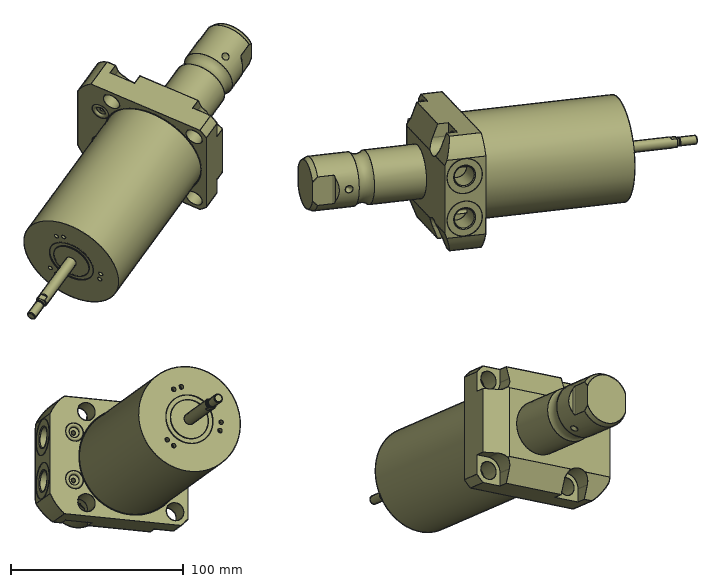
import cadquery as cq
import math


FLANGE_LEFT = 49.9
FLANGE_RIGHT = 35.5
FLANGE_HEIGHT = 70.9
FLANGE_THICKNESS = 25.0
PORT_SIDE_HALF_HEIGHT = 24.0
PORT_CORNER_LENGTH = 8.8
PORT_CORNER_RADIUS = 28.6
RIGHT_CORNER_RADIUS = 47.2
BEVEL_WIDTH = 14.5
BEVEL_DEPTH = 5.7

BOLT_OFFSET = 27.5
BOLT_HOLE_DIAMETER = 10.7
BOLT_SEAT_RADIUS = 8.0
BOLT_SEAT_Y = 13.0

PORT_Y = 13.0
PORT_Z = 13.1
PORT_DIAMETER = 12.2
PORT_CHAMFER = 0.6
SPOT_FACE_DIAMETER = 21.5
SPOT_FACE_DEPTH = 0.2
CHANNEL_X = -34.8
CHANNEL_Z = 14.3
CHANNEL_DIAMETER = 2.6
CHANNEL_DEPTH = 13.5

RING_RADIUS = 4.3
RING_WIRE_RADIUS = 1.2
RING_PROTRUSION = 0.5
RING_SEAT_RADIUS = RING_RADIUS + RING_WIRE_RADIUS
RING_SEAT_DEPTH = 2 * RING_WIRE_RADIUS - RING_PROTRUSION

BODY_RADIUS = 31.5
BODY_LENGTH = 97.0
BODY_RELIEF_RADIUS = 32.0
BODY_RELIEF_DEPTH = 0.7
FACE_GROOVE_INNER_RADIUS = 11.7
FACE_GROOVE_OUTER_RADIUS = 14.5
FACE_GROOVE_DEPTH = 0.7
FACE_HOLE_DIAMETER = 2.6
FACE_HOLE_DEPTH = 3.5
FACE_HOLE_CIRCLE_RADIUS = 19.5
FACE_HOLE_PAIRS = 3
FACE_HOLE_PAIR_ANGLE = 15

ROD_RADIUS = 3.3
ROD_LENGTH = 35.5
ROD_CHAMFER = 0.2
ROD_FLAT_HALF_HEIGHT = 2.6
ROD_FLAT_LENGTH = 3.3
ROD_FLAT_RAMP = 0.5
TIP_RADIUS = 2.6
TIP_LENGTH = 12.2
TIP_CHAMFER = 0.5
UNDERCUT_OFFSET = 1.2
UNDERCUT_WIDTH = 0.7
UNDERCUT_DEPTH = 0.2

SPINDLE_RADIUS = 16.0
SPINDLE_END_Y = 93.8
SPINDLE_BEVEL_LENGTH = 3.0
SPINDLE_BEVEL_DEPTH = 1.5
NECK_START_Y = 56.8
NECK_END_Y = 66.0
NECK_DEPTH = 1.7
SPINDLE_FLAT_OFFSET = 13.4
SPINDLE_FLAT_LENGTH = 12.6
SPINDLE_FLAT_FILLET = 1.0
SPINDLE_FLAT_RUNOUT = 2.0
DIMPLE_Y = 72.3
DIMPLE_DIAMETER = 4.8
DIMPLE_DEPTH = 2.5
DIMPLE_COUNT = 3

half_height = FLANGE_HEIGHT / 2
body_front_y = -BODY_LENGTH
rod_front_y = body_front_y - ROD_LENGTH
tip_front_y = rod_front_y - TIP_LENGTH


def disc(x, z, radius, start_y, end_y):
    """Cylinder along Y between two Y positions."""
    return cq.Workplane("XZ", origin=(x, start_y, z)).circle(radius).extrude(start_y - end_y)


def side_disc(y, z, radius, depth):
    """Cylinder that goes along +X into the port side."""
    return cq.Workplane("YZ", origin=(-FLANGE_LEFT, y, z)).circle(radius).extrude(depth)


def make_flange_plate():
    port_corner_x = PORT_CORNER_LENGTH - FLANGE_LEFT
    right_corner_x = math.sqrt(RIGHT_CORNER_RADIUS**2 - half_height**2)
    right_corner_z = math.sqrt(RIGHT_CORNER_RADIUS**2 - FLANGE_RIGHT**2)
    plate = (
        cq.Workplane("XZ")
        .moveTo(port_corner_x, half_height)
        .lineTo(right_corner_x, half_height)
        .radiusArc((FLANGE_RIGHT, right_corner_z), RIGHT_CORNER_RADIUS)
        .lineTo(FLANGE_RIGHT, -right_corner_z)
        .radiusArc((right_corner_x, -half_height), RIGHT_CORNER_RADIUS)
        .lineTo(port_corner_x, -half_height)
        .radiusArc((-FLANGE_LEFT, -PORT_SIDE_HALF_HEIGHT), PORT_CORNER_RADIUS)
        .lineTo(-FLANGE_LEFT, PORT_SIDE_HALF_HEIGHT)
        .radiusArc((port_corner_x, half_height), PORT_CORNER_RADIUS)
        .close()
        .extrude(-FLANGE_THICKNESS)
    )
    bevel_y = FLANGE_THICKNESS - BEVEL_DEPTH
    height_profile = (
        cq.Workplane("YZ")
        .polyline([
            (0, -half_height),
            (bevel_y, -half_height),
            (FLANGE_THICKNESS, BEVEL_WIDTH - half_height),
            (FLANGE_THICKNESS, half_height - BEVEL_WIDTH),
            (bevel_y, half_height),
            (0, half_height),
        ])
        .close()
        .extrude(FLANGE_LEFT, both=True)
    )
    width_profile = (
        cq.Workplane("XY")
        .polyline([
            (-FLANGE_LEFT, 0),
            (FLANGE_RIGHT, 0),
            (FLANGE_RIGHT, bevel_y),
            (FLANGE_RIGHT - BEVEL_WIDTH, FLANGE_THICKNESS),
            (-FLANGE_LEFT, FLANGE_THICKNESS),
        ])
        .close()
        .extrude(half_height, both=True)
    )
    return plate.intersect(height_profile).intersect(width_profile)


def make_port_side_seat():
    """Bolt seat at -X and +Z: a round end that runs out through the +Z side."""
    left_x = -BOLT_OFFSET - BOLT_SEAT_RADIUS
    right_x = -BOLT_OFFSET + BOLT_SEAT_RADIUS
    return (
        cq.Workplane("XZ", origin=(0, BOLT_SEAT_Y, 0))
        .moveTo(left_x, half_height)
        .lineTo(left_x, BOLT_OFFSET)
        .threePointArc((-BOLT_OFFSET, BOLT_OFFSET - BOLT_SEAT_RADIUS), (right_x, BOLT_OFFSET))
        .lineTo(right_x, half_height)
        .close()
        .extrude(BOLT_SEAT_Y - FLANGE_THICKNESS)
    )


def make_right_seat():
    """Bolt seat at +X and +Z: a corner notch with a round inner corner."""
    inner = BOLT_OFFSET - BOLT_SEAT_RADIUS
    return (
        cq.Workplane("XZ", origin=(0, BOLT_SEAT_Y, 0))
        .moveTo(inner, half_height)
        .lineTo(inner, BOLT_OFFSET)
        .radiusArc((BOLT_OFFSET, inner), -BOLT_SEAT_RADIUS)
        .lineTo(FLANGE_RIGHT, inner)
        .lineTo(FLANGE_RIGHT, half_height)
        .close()
        .extrude(BOLT_SEAT_Y - FLANGE_THICKNESS)
    )


def cut_mounting_holes(flange):
    for side_x in (-1, 1):
        for side_z in (-1, 1):
            hole = disc(
                side_x * BOLT_OFFSET, side_z * BOLT_OFFSET, BOLT_HOLE_DIAMETER / 2, 0, FLANGE_THICKNESS
            )
            flange = flange.cut(hole)
    for seat in (make_port_side_seat(), make_right_seat()):
        flange = flange.cut(seat).cut(seat.mirror("XY"))
    return flange


def cut_ports(flange):
    port_depth = FLANGE_LEFT + CHANNEL_X
    for side_z in (-1, 1):
        port_z = side_z * PORT_Z
        channel_z = side_z * CHANNEL_Z
        port = side_disc(PORT_Y, port_z, PORT_DIAMETER / 2, port_depth)
        chamfer = cq.Workplane(
            cq.Solid.makeCone(
                PORT_DIAMETER / 2 + PORT_CHAMFER, PORT_DIAMETER / 2, PORT_CHAMFER,
                pnt=cq.Vector(SPOT_FACE_DEPTH - FLANGE_LEFT, PORT_Y, port_z), dir=cq.Vector(1, 0, 0),
            )
        )
        spot_face = side_disc(PORT_Y, port_z, SPOT_FACE_DIAMETER / 2, SPOT_FACE_DEPTH)
        channel = disc(CHANNEL_X, channel_z, CHANNEL_DIAMETER / 2, 0, CHANNEL_DEPTH)
        ring_seat = disc(CHANNEL_X, channel_z, RING_SEAT_RADIUS, 0, RING_SEAT_DEPTH)
        flange = flange.cut(port).cut(chamfer).cut(spot_face).cut(channel).cut(ring_seat)
    return flange


def make_body_and_rod():
    undercut_y = rod_front_y - UNDERCUT_OFFSET
    body = (
        cq.Workplane("YZ")
        .polyline([
            (BODY_RELIEF_DEPTH, 0),
            (BODY_RELIEF_DEPTH, BODY_RADIUS),
            (body_front_y, BODY_RADIUS),
            (body_front_y, ROD_RADIUS),
            (rod_front_y + ROD_CHAMFER, ROD_RADIUS),
            (rod_front_y, ROD_RADIUS - ROD_CHAMFER),
            (rod_front_y, TIP_RADIUS),
            (undercut_y, TIP_RADIUS),
            (undercut_y, TIP_RADIUS - UNDERCUT_DEPTH),
            (undercut_y - UNDERCUT_WIDTH, TIP_RADIUS - UNDERCUT_DEPTH),
            (undercut_y - UNDERCUT_WIDTH, TIP_RADIUS),
            (tip_front_y + TIP_CHAMFER, TIP_RADIUS),
            (tip_front_y, TIP_RADIUS - TIP_CHAMFER),
            (tip_front_y, 0),
        ])
        .close()
        .revolve(360, (0, 0), (1, 0))
    )
    flat_y = rod_front_y + ROD_FLAT_LENGTH
    flat = (
        cq.Workplane("YZ")
        .polyline([
            (rod_front_y, ROD_FLAT_HALF_HEIGHT),
            (flat_y, ROD_FLAT_HALF_HEIGHT),
            (flat_y + ROD_FLAT_RAMP, ROD_RADIUS),
            (rod_front_y, ROD_RADIUS),
        ])
        .close()
        .extrude(ROD_RADIUS, both=True)
    )
    return body.cut(flat).cut(flat.mirror("XY"))


def cut_body_face(body):
    groove_floor_y = body_front_y + FACE_GROOVE_DEPTH
    groove = disc(0, 0, FACE_GROOVE_OUTER_RADIUS, body_front_y, groove_floor_y).cut(
        disc(0, 0, FACE_GROOVE_INNER_RADIUS, body_front_y, groove_floor_y)
    )
    body = body.cut(groove)
    for pair in range(FACE_HOLE_PAIRS):
        pair_angle = pair * 360 / FACE_HOLE_PAIRS
        for angle in (pair_angle, pair_angle - FACE_HOLE_PAIR_ANGLE):
            hole_x = FACE_HOLE_CIRCLE_RADIUS * math.cos(math.radians(angle))
            hole_z = FACE_HOLE_CIRCLE_RADIUS * math.sin(math.radians(angle))
            hole = disc(hole_x, hole_z, FACE_HOLE_DIAMETER / 2, body_front_y, body_front_y + FACE_HOLE_DEPTH)
            body = body.cut(hole)
    return body


def make_spindle():
    spindle = (
        cq.Workplane("XY")
        .moveTo(0, FLANGE_THICKNESS)
        .lineTo(-SPINDLE_RADIUS, FLANGE_THICKNESS)
        .lineTo(-SPINDLE_RADIUS, NECK_START_Y)
        .threePointArc(
            (NECK_DEPTH - SPINDLE_RADIUS, (NECK_START_Y + NECK_END_Y) / 2),
            (-SPINDLE_RADIUS, NECK_END_Y),
        )
        .lineTo(-SPINDLE_RADIUS, SPINDLE_END_Y - SPINDLE_BEVEL_LENGTH)
        .lineTo(SPINDLE_BEVEL_DEPTH - SPINDLE_RADIUS, SPINDLE_END_Y)
        .lineTo(0, SPINDLE_END_Y)
        .close()
        .revolve(360, (0, 0), (0, 1))
    )
    flat_y = SPINDLE_END_Y - SPINDLE_FLAT_LENGTH
    shoulder_x = SPINDLE_FLAT_OFFSET + SPINDLE_FLAT_FILLET
    flat = (
        cq.Workplane("XY")
        .moveTo(-SPINDLE_FLAT_OFFSET, SPINDLE_END_Y)
        .lineTo(-SPINDLE_FLAT_OFFSET, flat_y)
        .radiusArc((-shoulder_x, flat_y - SPINDLE_FLAT_FILLET), SPINDLE_FLAT_FILLET)
        .lineTo(-SPINDLE_RADIUS, flat_y - SPINDLE_FLAT_FILLET - SPINDLE_FLAT_RUNOUT)
        .lineTo(-SPINDLE_RADIUS, SPINDLE_END_Y)
        .close()
        .extrude(SPINDLE_RADIUS, both=True)
    )
    spindle = spindle.cut(flat).cut(flat.mirror("YZ"))
    dimple = cq.Workplane(
        cq.Solid.makeCone(
            DIMPLE_DIAMETER / 2, 0, DIMPLE_DEPTH,
            pnt=cq.Vector(-SPINDLE_RADIUS, DIMPLE_Y, 0), dir=cq.Vector(1, 0, 0),
        )
    )
    for index in range(DIMPLE_COUNT):
        spindle = spindle.cut(dimple.rotate((0, 0, 0), (0, 1, 0), index * 360 / DIMPLE_COUNT))
    return spindle


def make_housing():
    flange = cut_ports(cut_mounting_holes(make_flange_plate()))
    flange = flange.cut(disc(0, 0, BODY_RELIEF_RADIUS, 0, BODY_RELIEF_DEPTH))
    return flange.union(cut_body_face(make_body_and_rod())).union(make_spindle())


def make_o_ring(channel_z):
    ring_y = RING_WIRE_RADIUS - RING_PROTRUSION
    center = cq.Vector(CHANNEL_X, ring_y, channel_z)
    return cq.Solid.makeTorus(RING_RADIUS, RING_WIRE_RADIUS, center, cq.Vector(0, 1, 0))


housing = make_housing()
o_rings = [make_o_ring(side_z * CHANNEL_Z) for side_z in (-1, 1)]

result = cq.Compound.makeCompound([housing.val(), *o_rings])